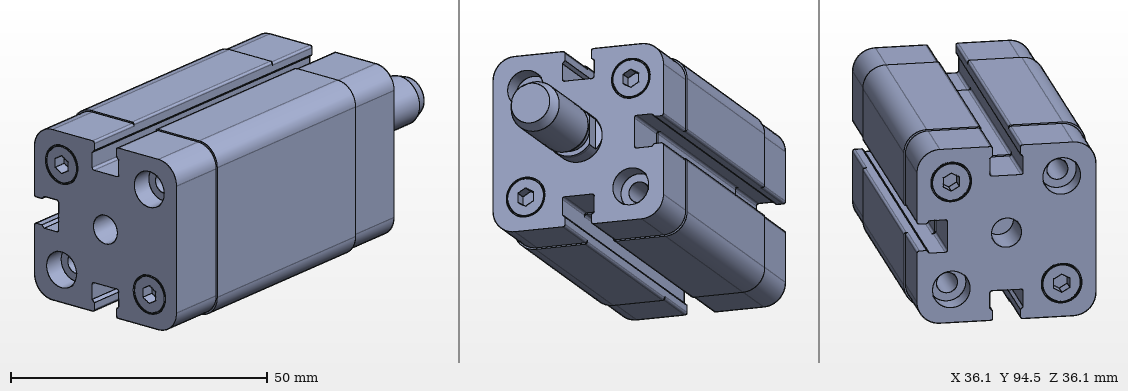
import cadquery as cq
import math


total_length = 94.5
cap_length = 12.4
barrel_length = 43.2
housing_length = 2 * cap_length + barrel_length
rod_length = total_length - housing_length

barrel_side = 36.1
cap_side = 35.5
corner_radius = 4.5

slot_mouth_width = 5.5
slot_inner_width = 6.6
barrel_slot_floor = 12.0
cap_slot_floor = 11.7
lip_inner_offset = 15.3
slot_edge_radius = 0.5

corner_offset = 11.0
through_diameter = 4.2
counterbore_diameter = 7.5
counterbore_depth = 4.8
screw_recess_diameter = 8.0
screw_head_diameter = 7.5
screw_gap_depth = 0.5
hex_across_flats = 3.2
hex_depth = 2.8

port_diameter = 6.0
port_depth = 8.5

rod_diameter = 10.0
neck_diameter = 7.9
tip_diameter = 8.0
tip_length = 2.6
thread_length = 19.4
thread_bevel_length = 0.6
thread_bevel_drop = 0.4
collar_length = 4.4
collar_bevel_length = 0.6
collar_bevel_drop = 0.1
flats_width = 8.0

base_y = -housing_length / 2
rod_face_y = housing_length / 2
rod_tip_y = rod_face_y + rod_length


def along_y(start_y):
    """Workplane facing -Y, so positive extrusions run toward -Y."""
    return cq.Workplane("XZ", origin=(0, start_y, 0))


def rounded_prism(side, start_y, length):
    return along_y(start_y).rect(side, side).extrude(-length).edges("|Y").fillet(corner_radius)


def slot_cutter(side, floor, start_y, length):
    """Slot opening toward +Z, widening in an arc at the mouth of a housing of the given side."""
    half_mouth = slot_mouth_width / 2
    half_inner = slot_inner_width / 2
    lip_outer_offset = lip_inner_offset + half_inner - half_mouth
    top = side / 2
    arc_inset = slot_edge_radius * (1 - math.sqrt(0.5))
    cutter = (
        along_y(start_y)
        .moveTo(-half_inner, floor)
        .lineTo(half_inner, floor)
        .lineTo(half_inner, lip_inner_offset)
        .lineTo(half_mouth, lip_outer_offset)
        .lineTo(half_mouth, top - slot_edge_radius)
        .threePointArc((half_mouth + arc_inset, top - arc_inset), (half_mouth + slot_edge_radius, top))
        .lineTo(-half_mouth - slot_edge_radius, top)
        .threePointArc((-half_mouth - arc_inset, top - arc_inset), (-half_mouth, top - slot_edge_radius))
        .lineTo(-half_mouth, lip_outer_offset)
        .lineTo(-half_inner, lip_inner_offset)
        .close()
        .extrude(-length)
    )
    return cutter.faces("<Z").edges("|Y").fillet(slot_edge_radius)


def housing_section(side, slot_floor, start_y, length):
    section = rounded_prism(side, start_y, length)
    cutter = slot_cutter(side, slot_floor, start_y, length)
    for angle in (0, 180, -90):
        section = section.cut(cutter.rotate((0, 0, 0), (0, 1, 0), angle))
    return section


def make_housing():
    base_cap = housing_section(cap_side, cap_slot_floor, base_y, cap_length)
    barrel = housing_section(barrel_side, barrel_slot_floor, base_y + cap_length, barrel_length)
    rod_cap = housing_section(cap_side, cap_slot_floor, rod_face_y - cap_length, cap_length)
    return base_cap.union(barrel).union(rod_cap)


def cut_mounting_holes(body):
    points = [(corner_offset, corner_offset), (-corner_offset, -corner_offset)]
    through = along_y(base_y).pushPoints(points).circle(through_diameter / 2).extrude(-housing_length)
    body = body.cut(through)
    for face_y, direction in ((base_y, -0.9), (rod_face_y, 0.9)):
        bore = along_y(face_y).pushPoints(points).circle(counterbore_diameter / 2)
        body = body.cut(bore.extrude(direction * counterbore_depth))
    return body


def cut_screw_heads(body):
    """Narrow ring around each screw head, with a hexagon socket in the middle."""
    points = [(-corner_offset, corner_offset), (corner_offset, -corner_offset)]
    hex_corner_diameter = hex_across_flats / math.cos(math.pi / 6)
    for face_y, direction in ((base_y, -1), (rod_face_y, 1)):
        face = along_y(face_y).pushPoints(points)
        ring = face.circle(screw_recess_diameter / 2).circle(screw_head_diameter / 2)
        body = body.cut(ring.extrude(direction * screw_gap_depth))
        for x, z in points:
            socket = cq.Workplane("XZ", origin=(x, face_y, z)).transformed(rotate=(0, 0, 90))
            socket = socket.polygon(6, hex_corner_diameter).extrude(direction * hex_depth)
            body = body.cut(socket)
    return body


def cut_port(body):
    return body.cut(along_y(base_y).circle(port_diameter / 2).extrude(-port_depth))


def make_rod():
    radius = rod_diameter / 2
    collar_y = rod_face_y + collar_length
    thread_y = rod_tip_y - thread_length
    profile = [
        (0, rod_face_y),
        (radius, rod_face_y),
        (radius, collar_y - collar_bevel_length),
        (radius - collar_bevel_drop, collar_y),
        (neck_diameter / 2, collar_y),
        (neck_diameter / 2, thread_y),
        (radius - thread_bevel_drop, thread_y),
        (radius, thread_y + thread_bevel_length),
        (radius, rod_tip_y - tip_length),
        (tip_diameter / 2, rod_tip_y),
        (0, rod_tip_y),
    ]
    rod = cq.Workplane("XY").polyline(profile).close().revolve(360, (0, 0, 0), (0, 1, 0))
    for side in (1, -1):
        flat = [
            (side * radius, rod_face_y),
            (side * flats_width / 2, rod_face_y + radius - flats_width / 2),
            (side * flats_width / 2, collar_y),
            (side * radius, collar_y),
        ]
        rod = rod.cut(cq.Workplane("XY").polyline(flat).close().extrude(radius, both=True))
    return rod


housing = cut_port(cut_screw_heads(cut_mounting_holes(make_housing())))
result = housing.union(make_rod())